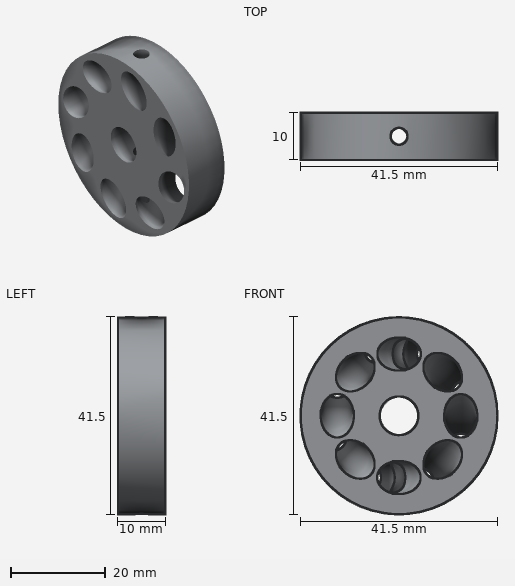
import cadquery as cq

disc_diameter = 41.5
disc_thickness = 10.0
bore_diameter = 8.1

slanted_hole_count = 8
slanted_hole_diameter = 7.0
slanted_hole_circle_radius = 13.0
slant_angle = 40.0

cross_hole_diameter = 3.5

front_y = -disc_thickness / 2
slanted_cutter_length = 4 * disc_thickness


def make_disc():
    """Disc with the central bore."""
    return (
        cq.Workplane("XZ", origin=(0, front_y, 0))
        .circle(disc_diameter / 2)
        .circle(bore_diameter / 2)
        .extrude(-disc_thickness)
    )


def make_slanted_cutter(position_angle):
    """Cylinder for one slanted hole, leaning clockwise (seen from -Y) towards +Y."""
    return (
        cq.Workplane("XZ")
        .workplane(offset=-slanted_cutter_length / 2)
        .circle(slanted_hole_diameter / 2)
        .extrude(slanted_cutter_length)
        .rotate((0, 0, 0), (0, 0, 1), -slant_angle)
        .translate((0, front_y, slanted_hole_circle_radius))
        .rotate((0, 0, 0), (0, 1, 0), position_angle)
    )


def make_cross_cutter():
    """Cylinder for the cross hole, running along Z through the bore."""
    return cq.Workplane("XY").circle(cross_hole_diameter / 2).extrude(disc_diameter, both=True)


result = make_disc()
for index in range(slanted_hole_count):
    result = result.cut(make_slanted_cutter(index * 360.0 / slanted_hole_count))
result = result.cut(make_cross_cutter())